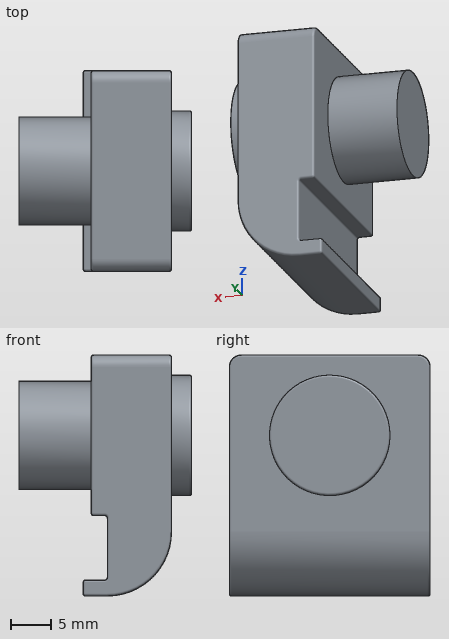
import cadquery as cq

housing_depth = 10.0
housing_width = 25.0
housing_height = 30.0
top_corner_radius = 1.5
edge_radius = 0.3

groove_depth = 2.0
groove_height = 8.0
lip_height = 2.0
lip_overhang = 1.0
heel_radius = housing_depth - groove_depth

axis_height = 20.0
shaft_diameter = 13.5
shaft_length = 9.0
disc_diameter = 15.0
disc_thickness = 2.5
disc_edge_radius = 0.3


def make_housing():
    groove_top = lip_height + groove_height
    block = (
        cq.Workplane("XZ")
        .moveTo(-lip_overhang, 0)
        .lineTo(housing_depth - heel_radius, 0)
        .radiusArc((housing_depth, heel_radius), -heel_radius)
        .lineTo(housing_depth, housing_height)
        .lineTo(0, housing_height)
        .lineTo(0, groove_top)
        .lineTo(groove_depth, groove_top)
        .lineTo(groove_depth, lip_height)
        .lineTo(-lip_overhang, lip_height)
        .close()
        .extrude(housing_width / 2, both=True)
    )
    rounded_top = block.faces(">Z").edges("|X").fillet(top_corner_radius)
    return rounded_top.edges().fillet(edge_radius).solids()


def make_cylinder(start_x, diameter, length):
    return (
        cq.Workplane("YZ", origin=(start_x, 0, axis_height))
        .circle(diameter / 2)
        .extrude(length)
    )


def make_shaft():
    return make_cylinder(-shaft_length, shaft_diameter, shaft_length)


def make_disc():
    disc = make_cylinder(housing_depth, disc_diameter, disc_thickness)
    return disc.faces(">X").edges().fillet(disc_edge_radius).solids()


housing = make_housing()
shaft = make_shaft()
disc = make_disc()

result = cq.Compound.makeCompound([housing.val(), shaft.val(), disc.val()])